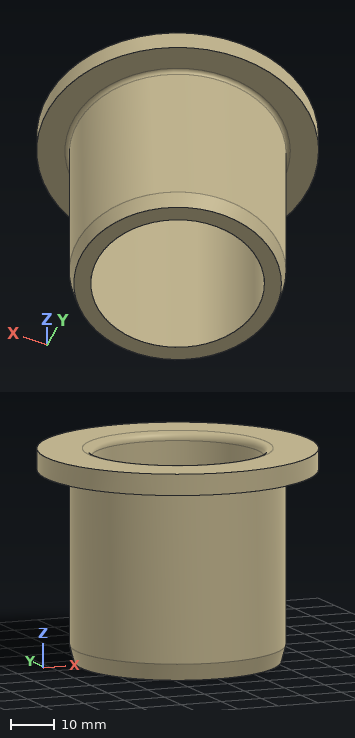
import cadquery as cq
import math

flange_diameter = 65.0
flange_thickness = 5.0
body_diameter = 50.0
bore_diameter = 40.0
total_height = 50.0
mouth_radius = 2.0
corner_radius = 1.0
lead_in_height = 4.0
lead_in_angle = 15.0

flange_underside = total_height - flange_thickness
lead_in_inset = lead_in_height * math.tan(math.radians(lead_in_angle))


def cylinder(diameter, height, base=0.0):
    return cq.Workplane("XY").workplane(offset=base).circle(diameter / 2).extrude(height)


body = cylinder(body_diameter, total_height)
body = body.faces("<Z").edges().chamfer(lead_in_height, lead_in_inset)

flange = cylinder(flange_diameter, flange_thickness, flange_underside)
bush = body.union(flange)
corner_height = cq.selectors.BoxSelector(
    (-flange_diameter, -flange_diameter, flange_underside - corner_radius),
    (flange_diameter, flange_diameter, flange_underside + corner_radius),
)
smallest_circle = cq.selectors.RadiusNthSelector(0)
bush = bush.edges(corner_height).edges(smallest_circle).fillet(corner_radius)

bush = bush.cut(cylinder(bore_diameter, total_height))
result = bush.faces(">Z").edges(smallest_circle).fillet(mouth_radius)